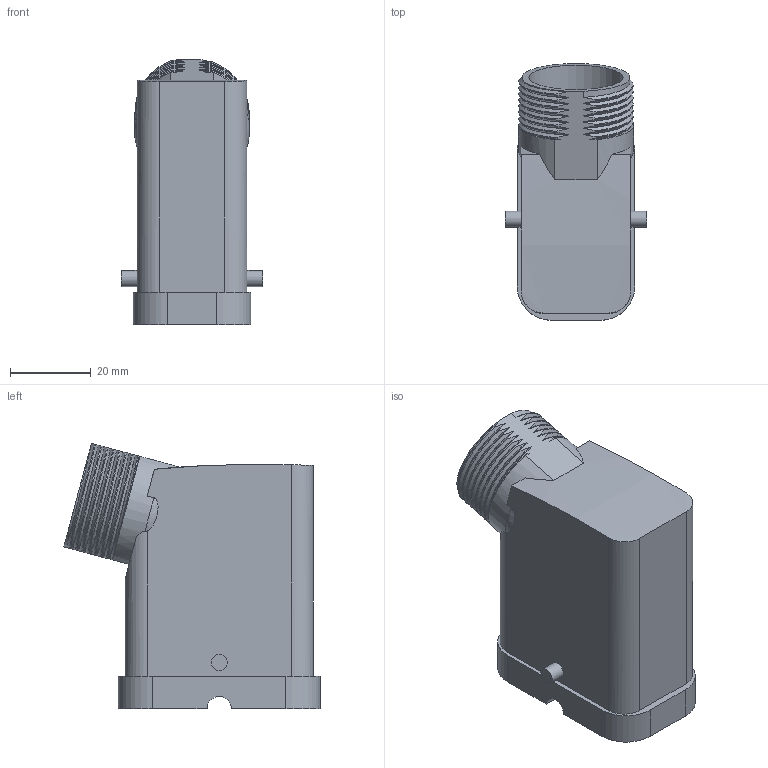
import cadquery as cq
import math

base_length = 50.0
base_width = 29.2
base_height = 8.0
base_corner_radius = 8.5
notch_radius = 3.0

body_length = 46.6
body_width = 27.2
body_corner_radius = 5.5
crown_height = 60.5
crown_centre_y = -10.0
crown_radius = 273.0

pin_span = 35.0
pin_diameter = 4.0
pin_height = 11.4

neck_tilt = 15.0
neck_length = 16.7
neck_radius = 14.25
flat_distance = 13.25
bore_radius = 11.7
tip_y = 35.05
tip_z = 52.85
shoulder_depth = 1.7
shoulder_end_round = 3.0
embed_depth = 12.0
embed_clearance = 0.1

thread_pitch = 1.588
thread_radius = 14.15
thread_root_radius = 13.39
thread_length = 12.4
thread_turns = 8
thread_root_gap = 0.05
thread_flank_angle = 40.0
ridge_overlap = 0.02
ridge_foot_radius = thread_root_radius - ridge_overlap
ridge_buried_radius = (ridge_foot_radius + flat_distance) / 2

tilt = math.radians(neck_tilt)
root_y = tip_y - neck_length * math.cos(tilt)
root_z = tip_z - neck_length * math.sin(tilt)


def rounded_block(width, length, bottom, height, corner_radius):
    """Upright block with rounded vertical edges, centred on the Z axis."""
    block = cq.Workplane("XY").workplane(offset=bottom).rect(width, length).extrude(height)
    return block.edges("|Z").fillet(corner_radius)


def place_neck(shape):
    """Tilt a shape built along +Z and move it to the neck root on the body."""
    return shape.rotate((0, 0, 0), (1, 0, 0), neck_tilt - 90).translate((0, root_y, root_z))


def make_base():
    """Base flange with a half-round notch running across its underside."""
    base = rounded_block(base_width, base_length, 0, base_height, base_corner_radius)
    notch = cq.Workplane("YZ").circle(notch_radius).extrude(base_width, both=True)
    return base.cut(notch)


def make_body():
    """Rounded hood with a crowned top and a tilted face where the neck leaves it."""
    body = rounded_block(
        body_width, body_length, base_height, crown_height - base_height, body_corner_radius
    )
    crown = (
        cq.Workplane("YZ")
        .center(crown_centre_y, crown_height - crown_radius)
        .circle(crown_radius)
        .extrude(body_width, both=True)
    )
    back_cut = place_neck(cq.Workplane("XY").rect(crown_height, 2 * crown_height).extrude(crown_height))
    return body.intersect(crown).cut(back_cut)


def make_pins():
    """One pin along X that sticks out of both side walls."""
    return (
        cq.Workplane("YZ")
        .center(0, pin_height)
        .circle(pin_diameter / 2)
        .extrude(pin_span / 2, both=True)
    )


def make_flats():
    """Slab that trims the neck to its flat top and bottom."""
    return cq.Workplane("XY").box(3 * neck_radius, 2 * flat_distance, 4 * neck_length)


def make_half_ridge():
    """Half a turn of right-hand thread ridge, from the top flat over the +X side to the bottom flat."""
    flank_slope = math.tan(math.radians(thread_flank_angle))
    root_half = (thread_pitch - thread_root_gap) / 2
    crest_half = root_half - (thread_radius - thread_root_radius) * flank_slope
    foot_half = root_half + (thread_root_radius - ridge_foot_radius) * flank_slope
    path = cq.Workplane(cq.Wire.makeHelix(thread_pitch, thread_pitch / 2, thread_root_radius))
    ridge = (
        cq.Workplane("XZ")
        .moveTo(ridge_buried_radius, -foot_half)
        .lineTo(ridge_foot_radius, -foot_half)
        .lineTo(thread_radius, -crest_half)
        .lineTo(thread_radius, crest_half)
        .lineTo(ridge_foot_radius, foot_half)
        .lineTo(ridge_buried_radius, foot_half)
        .close()
        .sweep(path, isFrenet=True)
    )
    return ridge.rotate((0, 0, 0), (0, 0, 1), -90).intersect(make_flats())


def make_thread():
    """Thread core with its ridge, which starts on the top flat, flush with the tip."""
    thread = cq.Workplane("XY").circle(thread_root_radius).extrude(neck_length).intersect(make_flats())
    right_half = make_half_ridge()
    left_half = right_half.rotate((0, 0, 0), (0, 0, 1), 180)
    for turn in range(thread_turns):
        turn_top = neck_length - (turn + 0.5) * thread_pitch
        thread = thread.union(left_half.translate((0, 0, turn_top - thread_pitch / 2)))
        thread = thread.union(right_half.translate((0, 0, turn_top - thread_pitch)))
    return thread


def make_neck():
    """Thread, plain shoulder behind it and the part embedded in the body, placed on the body."""
    shoulder_top = neck_length - thread_length
    shoulder_height = shoulder_top + shoulder_depth + shoulder_end_round
    shoulder = (
        cq.Workplane("XY")
        .workplane(offset=shoulder_top - shoulder_height)
        .circle(neck_radius)
        .extrude(shoulder_height)
        .faces("<Z")
        .edges()
        .fillet(shoulder_end_round)
        .intersect(make_flats())
    )
    embedded_width = body_width - 2 * embed_clearance
    embedded = (
        cq.Workplane("XY")
        .circle(neck_radius)
        .extrude(-embed_depth)
        .intersect(cq.Workplane("XY").box(embedded_width, 2 * flat_distance, 2 * embed_depth))
    )
    return place_neck(make_thread().union(shoulder).union(embedded))


def make_bore():
    """Blind bore of the neck, from the tip to the root plane."""
    return place_neck(cq.Workplane("XY").circle(bore_radius).extrude(neck_length))


result = make_base().union(make_body()).union(make_pins()).union(make_neck()).cut(make_bore())